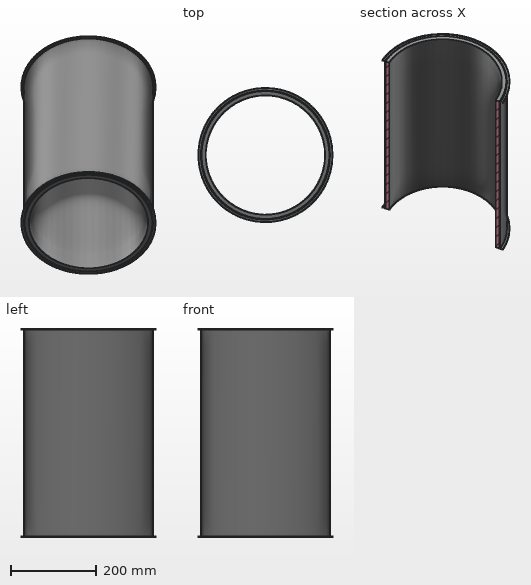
import cadquery as cq

length = 488.0
bore_diameter = 279.0
liner_diameter = 299.0
shell_wall = 2.0
flange_diameter = 315.0
flange_thickness = shell_wall

shell_diameter = liner_diameter + 2 * shell_wall


def ring(outer_diameter, inner_diameter, height, base_z=0.0):
    """Plain ring around the Z axis, standing on base_z."""
    return (
        cq.Workplane("XY")
        .workplane(offset=base_z)
        .circle(outer_diameter / 2)
        .circle(inner_diameter / 2)
        .extrude(height)
    )


def make_liner():
    """Thick inner tube that fills the shell from end to end."""
    return ring(liner_diameter, bore_diameter, length)


def make_flanged_shell():
    """Thin outer tube with a flat flange flush with each end."""
    shell = ring(shell_diameter, liner_diameter, length)
    for flange_base in (0.0, length - flange_thickness):
        flange = ring(flange_diameter, liner_diameter, flange_thickness, flange_base)
        shell = shell.union(flange)
    return shell.solids()


liner = make_liner()
flanged_shell = make_flanged_shell()

result = cq.Compound.makeCompound([liner.val(), flanged_shell.val()])